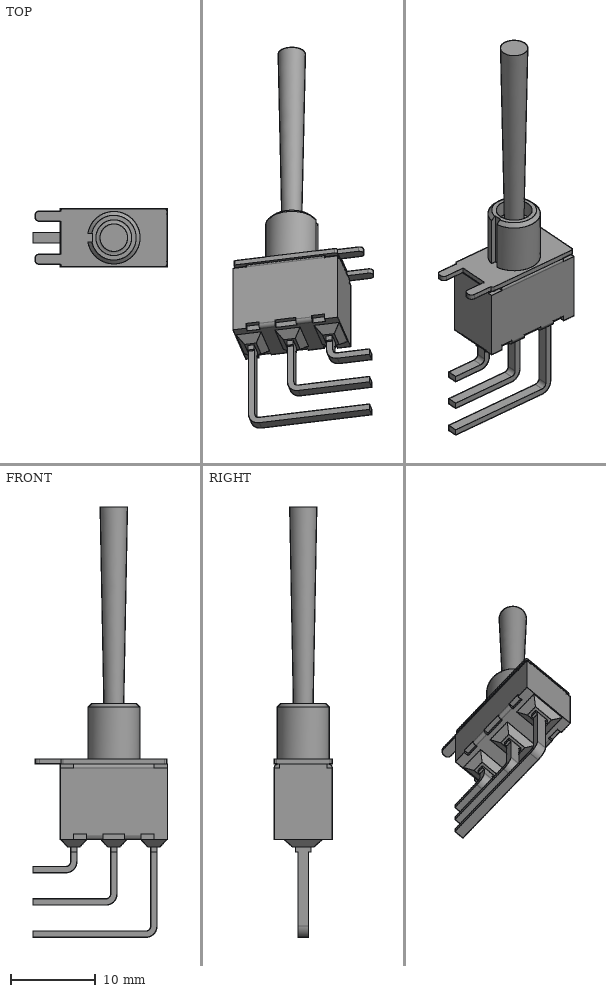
import cadquery as cq


case_length = 12.65
case_width = 6.85
case_height = 8.9
sheet = 0.6
panel_length = 9.5
panel_height = 8.25
bend_radius = 0.45
finger_length = 1.95
finger_offset = 2.25
core_width = case_width - 2 * sheet
post_length = (case_length - panel_length) / 2

plate_length = 12.45
plate_corner_radius = 0.25
tab_width = 1.2
tab_tip_x = -9.25
tab_spacing = 5.05
tab_tip_radius = 0.5

bushing_diameter = 6.2
bushing_height = 6.55
bushing_chamfer = 0.45
keyway_width = 0.95
keyway_floor = 2.5
bore_diameter = 4.2

terminal_count = 3
terminal_pitch = 4.7
terminal_thickness = 0.75
terminal_width = 1.25
terminal_tip_x = -9.55
lowest_terminal_z = -20.4
terminal_drop = 3.8
bend_inner_radius = 0.55
seal_height = 0.85
seal_top = (3.05, 4.45)
seal_bottom = (1.4, 2.55)
shoulder_width = 1.9
shoulder_height = 0.6

lever_top_z = 30.25
lever_tip_diameter = 3.25
lever_neck_diameter = 2.35
flare_radius = (bore_diameter - lever_neck_diameter) / 2
flare_depth = 1.9

plate_top = sheet
bushing_top = plate_top + bushing_height


def block(length, width, bottom, top, x=0.0, y=0.0):
    """Box centred on (x, y) that spans bottom to top in Z."""
    return cq.Workplane("XY", origin=(x, y, bottom)).box(
        length, width, top - bottom, centered=(True, True, False)
    )


def make_case():
    """Core, corner posts, side panels and the panels' clenched fingers."""
    case = block(case_length, core_width, -case_height, 0)
    for side in (-1, 1):
        post_x = side * (case_length - post_length) / 2
        case = case.union(block(post_length, case_width, -case_height, -bend_radius, x=post_x))
    panels = block(panel_length, case_width, -panel_height, 0)
    case = case.union(panels.edges("|X and >Z").fillet(bend_radius))
    for side in (-1, 1):
        finger = block(finger_length, case_width, -case_height, -case_height / 2, x=side * finger_offset)
        case = case.union(finger.edges("|X and <Z").fillet(bend_radius))
    return case


def make_plate():
    """Mounting plate with two round-tipped tabs that reach toward -X."""
    plate = block(plate_length, case_width, 0, plate_top).edges("|Z").fillet(plate_corner_radius)
    for side in (-1, 1):
        tab = block(-tab_tip_x, tab_width, 0, plate_top, x=tab_tip_x / 2, y=side * tab_spacing / 2)
        plate = plate.union(tab.edges("|Z and <X").fillet(tab_tip_radius))
    return plate


def make_bushing():
    """Bushing with a chamfered rim and a keyway along its -X side."""
    bushing = (
        cq.Workplane("XY", origin=(0, 0, plate_top))
        .circle(bushing_diameter / 2)
        .extrude(bushing_height)
        .faces(">Z")
        .chamfer(bushing_chamfer)
    )
    keyway_depth = bushing_diameter / 2 - keyway_floor
    keyway = block(
        keyway_depth, keyway_width, plate_top, bushing_top, x=-keyway_floor - keyway_depth / 2
    )
    return bushing.cut(keyway)


def make_terminal(x, bottom):
    """Bent terminal centred at x, with its horizontal leg's underside at bottom."""
    seal = (
        cq.Workplane("XY", origin=(x, 0, -case_height))
        .rect(*seal_top)
        .workplane(offset=-seal_height)
        .rect(*seal_bottom)
        .loft()
    )
    seal_end = -case_height - seal_height
    shoulder = block(terminal_thickness, shoulder_width, seal_end - shoulder_height, seal_end, x=x)

    inner_x = x - terminal_thickness / 2
    outer_x = x + terminal_thickness / 2
    bend_outer_radius = bend_inner_radius + terminal_thickness
    leg_top = bottom + terminal_thickness
    strip = (
        cq.Workplane("XZ")
        .moveTo(terminal_tip_x, bottom)
        .lineTo(outer_x - bend_outer_radius, bottom)
        .radiusArc((outer_x, bottom + bend_outer_radius), -bend_outer_radius)
        .lineTo(outer_x, seal_end)
        .lineTo(inner_x, seal_end)
        .lineTo(inner_x, leg_top + bend_inner_radius)
        .radiusArc((inner_x - bend_inner_radius, leg_top), bend_inner_radius)
        .lineTo(terminal_tip_x, leg_top)
        .close()
        .extrude(terminal_width / 2, both=True)
    )
    return seal.union(shoulder).union(strip)


def make_housing():
    housing = make_case().union(make_plate()).union(make_bushing())
    for index in range(terminal_count):
        terminal_x = ((terminal_count - 1) / 2 - index) * terminal_pitch
        terminal_z = lowest_terminal_z + index * terminal_drop
        housing = housing.union(make_terminal(terminal_x, terminal_z))
    bore = (
        cq.Workplane("XY", origin=(0, 0, plate_top))
        .circle(bore_diameter / 2)
        .extrude(bushing_height)
    )
    return housing.cut(bore)


def make_lever():
    """Tapered lever that flares out to fill the lower part of the bushing's bore."""
    bore_radius = bore_diameter / 2
    neck_radius = lever_neck_diameter / 2
    flare_edge_z = bushing_top - flare_depth
    return (
        cq.Workplane("XZ")
        .moveTo(0, plate_top)
        .lineTo(bore_radius, plate_top)
        .lineTo(bore_radius, flare_edge_z)
        .radiusArc((neck_radius, flare_edge_z + flare_radius), flare_radius)
        .lineTo(lever_tip_diameter / 2, lever_top_z)
        .lineTo(0, lever_top_z)
        .close()
        .revolve(360, (0, 0, 0), (0, 1, 0))
    )


housing = make_housing()
lever = make_lever()

result = cq.Compound.makeCompound([housing.solids().val(), lever.solids().val()])